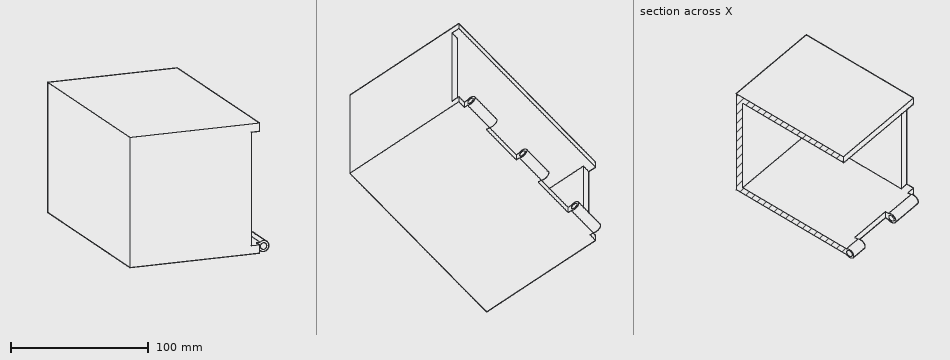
import cadquery as cq

WIDTH = 158.2
DEPTH = 101.5
HEIGHT = 98.2
WALL = 6.35
SIDE_SETBACK = WALL

HOLE_DIAMETER = 9.65
HOLE_FROM_FRONT = 41.2

TOTAL_DEPTH = 111.33
TOTAL_HEIGHT = 99.22
KNUCKLE_CENTER_Z = WALL / 2
KNUCKLE_RADIUS = TOTAL_HEIGHT - HEIGHT + KNUCKLE_CENTER_Z
KNUCKLE_CENTER_Y = TOTAL_DEPTH - KNUCKLE_RADIUS
PIN_DIAMETER = 5.0
KNUCKLE_LENGTH = 25.4
KNUCKLE_PITCH = 60.0
KNUCKLE_COUNT = 3


def make_box():
    """Hollow box, open at the rear, with the side walls set back behind roof and floor."""
    outer = cq.Workplane("XY").box(WIDTH, DEPTH, HEIGHT, centered=(True, False, False))
    cavity = (
        cq.Workplane("XY")
        .box(WIDTH - 2 * WALL, DEPTH - WALL, HEIGHT - 2 * WALL, centered=(True, False, False))
        .translate((0, WALL, WALL))
    )
    setback = (
        cq.Workplane("XY")
        .box(WIDTH, SIDE_SETBACK, HEIGHT - 2 * WALL, centered=(True, False, False))
        .translate((0, DEPTH - SIDE_SETBACK, WALL))
    )
    return outer.cut(cavity).cut(setback)


def make_cable_hole():
    """Cutter for the hole through the -X wall only."""
    return (
        cq.Workplane("YZ", origin=(-WIDTH / 2, HOLE_FROM_FRONT, HEIGHT / 2))
        .circle(HOLE_DIAMETER / 2)
        .extrude(WALL)
    )


def make_knuckle(center_x):
    """Barrel joined by a flat leaf to the rear edge of the floor, bored for the pin."""
    barrel_start = cq.Workplane(
        "YZ", origin=(center_x - KNUCKLE_LENGTH / 2, KNUCKLE_CENTER_Y, KNUCKLE_CENTER_Z)
    )
    barrel = barrel_start.circle(KNUCKLE_RADIUS).extrude(KNUCKLE_LENGTH)
    leaf = (
        cq.Workplane("XY")
        .box(KNUCKLE_LENGTH, KNUCKLE_CENTER_Y - DEPTH, WALL, centered=(True, False, False))
        .translate((center_x, DEPTH, 0))
    )
    bore = barrel_start.circle(PIN_DIAMETER / 2).extrude(KNUCKLE_LENGTH)
    return barrel.union(leaf).cut(bore)


result = make_box().cut(make_cable_hole())
for index in range(KNUCKLE_COUNT):
    knuckle_x = (index - (KNUCKLE_COUNT - 1) / 2) * KNUCKLE_PITCH
    result = result.union(make_knuckle(knuckle_x))